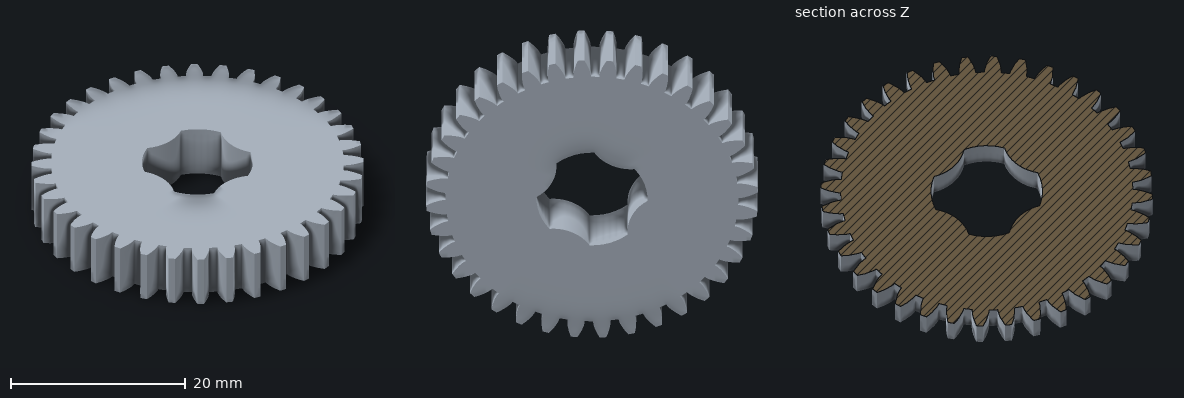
import cadquery as cq
import math

MODULE = 1.0
TOOTH_COUNT = 36
PRESSURE_ANGLE = math.radians(20)
DEDENDUM_FACTOR = 1.25
THICKNESS = 6.25
BORE_RADIUS = 6.35
LOBE_COUNT = 4
LOBE_RADIUS = 5.0
LOBE_CLEARANCE = 5.1
FLANK_POINTS = 6

pitch_radius = MODULE * TOOTH_COUNT / 2
base_radius = pitch_radius * math.cos(PRESSURE_ANGLE)
tip_radius = pitch_radius + MODULE
root_radius = pitch_radius - DEDENDUM_FACTOR * MODULE
pitch_step = 2 * math.pi / TOOTH_COUNT


def polar(radius, angle):
    return (radius * math.cos(angle), radius * math.sin(angle))


def involute(angle):
    return math.tan(angle) - angle


def tooth_half_angle(radius):
    """Half the angle a tooth spans at a radius on its involute flank."""
    flank_angle = math.acos(base_radius / radius)
    return pitch_step / 4 + involute(PRESSURE_ANGLE) - involute(flank_angle)


def add_tooth(outline, center_angle):
    """Draw one tooth from its root, then the root land up to the next tooth."""
    radius_step = (tip_radius - base_radius) / (FLANK_POINTS - 1)
    radii = [base_radius + i * radius_step for i in range(FLANK_POINTS)]
    rising = [polar(r, center_angle - tooth_half_angle(r)) for r in radii]
    falling = [polar(r, center_angle + tooth_half_angle(r)) for r in reversed(radii)]
    root_half_angle = tooth_half_angle(base_radius)
    next_center = center_angle + pitch_step

    outline = outline.lineTo(*rising[0])
    outline = outline.spline(rising[1:], includeCurrent=True)
    outline = outline.threePointArc(polar(tip_radius, center_angle), falling[0])
    outline = outline.spline(falling[1:], includeCurrent=True)
    outline = outline.lineTo(*polar(root_radius, center_angle + root_half_angle))
    return outline.threePointArc(
        polar(root_radius, center_angle + pitch_step / 2),
        polar(root_radius, next_center - root_half_angle),
    )


def make_gear_blank():
    outline = cq.Workplane("XY").moveTo(*polar(root_radius, -tooth_half_angle(base_radius)))
    for tooth in range(TOOTH_COUNT):
        outline = add_tooth(outline, tooth * pitch_step)
    return outline.close().extrude(THICKNESS)


def make_bore():
    """Round through bore with convex lobes reaching in towards the axis."""
    bore = cq.Workplane("XY").circle(BORE_RADIUS).extrude(THICKNESS)
    lobes = (
        cq.Workplane("XY")
        .polarArray(LOBE_CLEARANCE + LOBE_RADIUS, 0, 360, LOBE_COUNT)
        .circle(LOBE_RADIUS)
        .extrude(THICKNESS)
    )
    return bore.cut(lobes)


result = make_gear_blank().cut(make_bore())